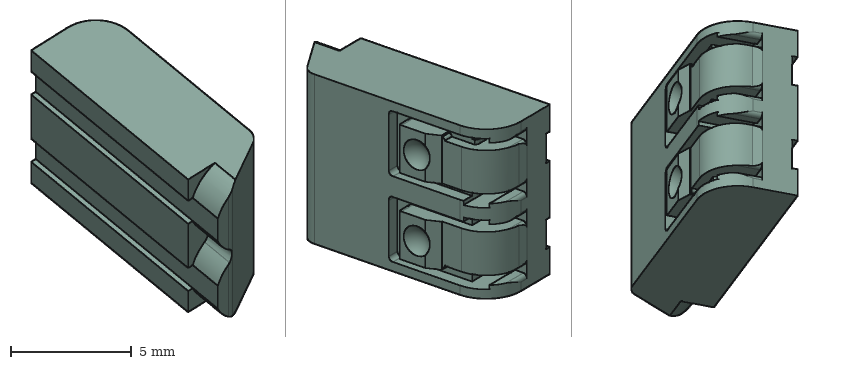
import cadquery as cq
import math


length = 11.5
body_height = 3.8
width = 7.9
mid_z = width / 2
front_radius = 1.8
slope_angle = 60.0
slope_foot = 0.97
slope_top_radius = 0.75
slope_foot_radius = 0.58
arc_center_y = body_height - front_radius

groove_depth = 0.25
groove_width = 1.37
groove_offset = 2.0
lobe_start = 9.91
lobe_side_height = 1.47
valley_radius = 0.5

pocket_offset = 1.9
pocket_floor = 1.58
mouth_half = 1.41
pocket_half = 1.61
lip_thickness = 0.61
pocket_depth = 1.61
slot_floor = 3.21
slot_end = 5.52
corner_radius = 0.21
flare_radius = pocket_half - mouth_half

lever_half = 1.01
lever_gap = 0.1
lever_edge_radius = 0.22
lever_height = body_height - lever_gap
lever_radius = front_radius - lever_gap
ear_width = 0.22
ear_base = 2.55
ear_thickness = 0.23
ear_round_start = 2.99
ear_setback = 0.08

tab_height = 4.0
tab_foot = 3.73
tab_start = 2.81
tab_ramp_end = 3.45
tab_flat_end = 4.8
tab_end = 4.97
tab_corner_radius = 0.25
tab_blend_radius = 0.14
dimple_rim_radius = 0.69
dimple_center_x = 3.89
dimple_depth = 0.35


def box(x0, x1, y0, y1, z0, z1):
    return cq.Workplane("XY").box(x1 - x0, y1 - y0, z1 - z0, centered=False).translate((x0, y0, z0))


def rounded_front(outline_start, radius):
    """Begin an XY outline that runs up a quarter arc about the common arc center."""
    diagonal = radius * math.sqrt(0.5)
    return outline_start.threePointArc(
        (front_radius - diagonal, arc_center_y + diagonal),
        (front_radius, arc_center_y + radius),
    )


def make_housing():
    slope_run = (body_height - slope_foot) / math.tan(math.radians(slope_angle))
    start = cq.Workplane("XY").moveTo(0, 0).lineTo(0, arc_center_y)
    outline = (
        rounded_front(start, front_radius)
        .lineTo(length - slope_run, body_height)
        .lineTo(length, slope_foot)
        .lineTo(length, 0)
        .close()
    )
    body = outline.extrude(width)
    body = body.edges(cq.NearestToPointSelector((length, slope_foot, mid_z))).fillet(slope_foot_radius)
    top_corner = cq.NearestToPointSelector((length - slope_run, body_height, mid_z))
    return body.edges(top_corner).fillet(slope_top_radius)


def make_lobe_section():
    """Solid above the two round lobes; each lobe has a flat as wide as a groove."""
    flat_half = groove_width / 2
    side = mid_z - groove_offset
    rise = lobe_side_height - groove_depth
    center_height = (side**2 - flat_half**2 + rise**2) / (2 * rise)
    radius = math.hypot(flat_half, center_height)

    def height(across):
        return groove_depth + center_height - math.sqrt(radius**2 - across**2)

    def point(across, sign):
        return (height(across), mid_z + sign * (groove_offset + across))

    valley = (height(groove_offset), mid_z)
    section = (
        cq.Workplane("YZ", origin=(lobe_start, 0, 0))
        .moveTo(*point(side, -1))
        .threePointArc(point((side + flat_half) / 2, -1), point(flat_half, -1))
        .lineTo(*point(-flat_half, -1))
        .threePointArc(point(-(groove_offset + flat_half) / 2, -1), valley)
        .threePointArc(point(-(groove_offset + flat_half) / 2, 1), point(-flat_half, 1))
        .lineTo(*point(flat_half, 1))
        .threePointArc(point((side + flat_half) / 2, 1), point(side, 1))
        .lineTo(body_height, width)
        .lineTo(body_height, 0)
        .close()
        .extrude(length - lobe_start)
    )
    valley_edge = cq.NearestToPointSelector(((lobe_start + length) / 2, valley[0], mid_z))
    return section.edges(valley_edge).fillet(valley_radius)


def make_pocket():
    """Cavity for one lever, open at the front and top, centered on z = 0."""
    top = body_height
    mouth = box(0, lip_thickness, pocket_floor, top, -mouth_half, mouth_half)
    cavity = box(lip_thickness, pocket_depth, pocket_floor, top, -pocket_half, pocket_half)
    slot = box(pocket_depth, slot_end, slot_floor, top, -mouth_half, pocket_half)
    slot = slot.edges("|Y and >X").fillet(corner_radius)
    pocket = mouth.union(cavity).union(slot)
    for side in (-1, 1):
        flare = (
            cq.Workplane("XZ", origin=(0, top, 0))
            .moveTo(0, side * mouth_half)
            .lineTo(0, side * pocket_half)
            .radiusArc((flare_radius, side * mouth_half), -side * flare_radius)
            .close()
            .extrude(top - pocket_floor)
        )
        pocket = pocket.union(flare)
    return pocket


def make_lever():
    """Lever for one pole centered on z = 0, its ear and tab reaching outwards to +Z."""
    outer = lever_half + ear_width
    start = cq.Workplane("XY").moveTo(0, pocket_floor).lineTo(lever_gap, arc_center_y)
    profile = (
        rounded_front(start, lever_radius)
        .lineTo(tab_start, lever_height)
        .lineTo(tab_start, slot_floor)
        .lineTo(pocket_depth, slot_floor)
        .lineTo(pocket_depth, pocket_floor)
        .close()
        .extrude(2 * lever_half)
        .translate((0, 0, -lever_half))
    )
    envelope = box(0, tab_start, pocket_floor, lever_height, -lever_half, lever_half)
    lever = profile.intersect(envelope.edges("|Y and <X").fillet(lever_edge_radius))

    ear_front = pocket_depth - ear_thickness
    round_height = slot_floor - ear_round_start
    ear_round_radius = (round_height**2 + ear_setback**2) / (2 * ear_setback)
    ear = (
        cq.Workplane("XY", origin=(0, 0, lever_half))
        .moveTo(pocket_depth, ear_base)
        .lineTo(ear_front, ear_base)
        .lineTo(ear_front, ear_round_start)
        .radiusArc((ear_front + ear_setback, slot_floor), ear_round_radius)
        .lineTo(pocket_depth, slot_floor)
        .close()
        .extrude(ear_width)
    )
    return lever.union(ear).union(make_tab(outer))


def make_tab(outer):
    tab = (
        cq.Workplane("XY", origin=(0, 0, -lever_half))
        .moveTo(tab_start, slot_floor)
        .lineTo(tab_start, tab_foot)
        .lineTo(tab_ramp_end, tab_height)
        .lineTo(tab_flat_end, tab_height)
        .lineTo(tab_end, lever_height)
        .lineTo(tab_end, slot_floor)
        .close()
        .extrude(lever_half + outer)
    )
    plan = box(tab_start, tab_end, slot_floor, tab_height, -lever_half, outer)
    tab = tab.intersect(plan.edges("|Y and >X").fillet(tab_corner_radius))
    blend = (
        cq.Workplane("XZ", origin=(0, lever_height, 0))
        .moveTo(tab_start, lever_half)
        .lineTo(tab_start, lever_half + tab_blend_radius)
        .radiusArc((tab_start - tab_blend_radius, lever_half), -tab_blend_radius)
        .close()
        .extrude(lever_height - slot_floor)
    )
    ball_radius = (dimple_rim_radius**2 + dimple_depth**2) / (2 * dimple_depth)
    ball_center = (dimple_center_x, tab_height - dimple_depth + ball_radius, (outer - lever_half) / 2)
    dimple = cq.Workplane("XY").sphere(ball_radius).translate(ball_center)
    return tab.union(blend).cut(dimple)


def place_pair(feature):
    """Put a feature at the upper pocket, and its mirror image at the lower pocket."""
    upper = feature.translate((0, 0, mid_z + pocket_offset))
    lower = feature.mirror("XY").translate((0, 0, mid_z - pocket_offset))
    return upper, lower


rear_cutter = box(lobe_start, length, 0, body_height, 0, width).cut(make_lobe_section())
result = make_housing().cut(rear_cutter)

for groove_z in (mid_z - groove_offset, mid_z + groove_offset):
    half = groove_width / 2
    result = result.cut(box(0, length, 0, groove_depth, groove_z - half, groove_z + half))

for pocket in place_pair(make_pocket()):
    result = result.cut(pocket)

for lever in place_pair(make_lever()):
    result = result.union(lever)